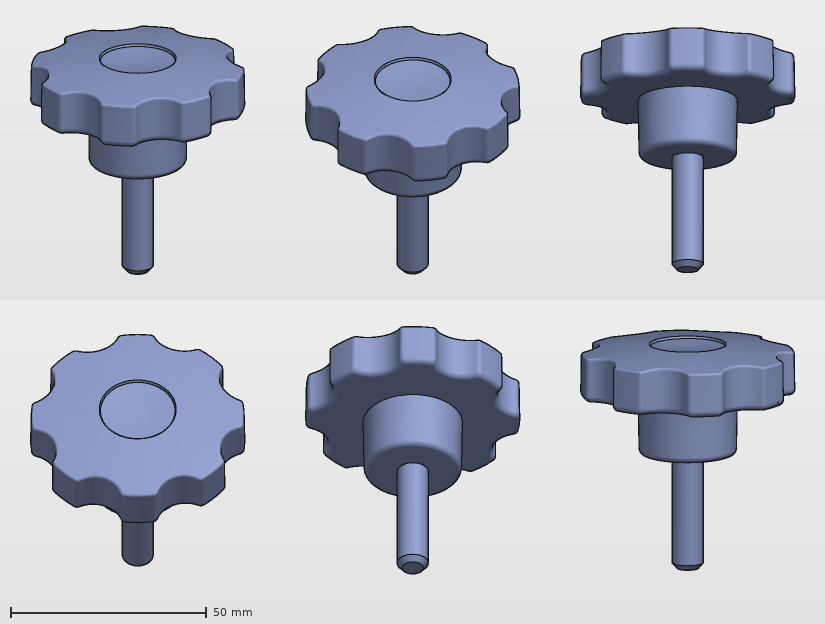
import cadquery as cq
import math

hub_height = 15.2
stud_length = 30.0
head_height = 13.47
head_top = hub_height + head_height

head_radius = 27.46
scallop_count = 8
scallop_radius = 7.5
scallop_depth = 4.0
draft_slope = math.tan(math.radians(1.0))
corner_fillet = 1.3
top_edge_fillet = 0.65
bottom_edge_fillet = 1.5

dome_radius = 150.0
dome_allowance = 2.0
recess_radius = 9.85
recess_floor_radius = 9.55
recess_depth = 0.6
floor_sag = 0.6

hub_top_radius = 12.73
hub_fillet = 1.5
stud_radius = 4.0
chamfer_height = 1.5
stud_tip_radius = 2.7


def drafted_post(radius, bottom, height, slope):
    """Cone frustum on Z whose radius changes by slope per unit of height."""
    return cq.Workplane("XY").add(
        cq.Solid.makeCone(radius, radius + slope * height, height, pnt=cq.Vector(0, 0, bottom))
    )


def make_dome():
    """Sphere centred on Z that passes through the rim of the recess."""
    centre_z = head_top - math.sqrt(dome_radius**2 - recess_radius**2)
    return cq.Workplane("XY").sphere(dome_radius).translate((0, 0, centre_z))


def make_head():
    """Drafted disc with scallops, a domed top and rounded edges."""
    blank_height = head_height + dome_allowance
    blank = drafted_post(head_radius, hub_height, blank_height, -draft_slope)
    scallop_offset = head_radius + scallop_radius - scallop_depth
    scallops = (
        cq.Workplane("XY", origin=(0, 0, hub_height))
        .polarArray(scallop_offset, 0, 360, scallop_count)
        .circle(scallop_radius)
        .extrude(blank_height)
    )
    blank = blank.cut(scallops)
    blank = blank.edges("not(<Z or >Z)").edges("not %LINE").fillet(corner_fillet)
    head = blank.intersect(make_dome())
    head = head.faces(">Z").edges().fillet(top_edge_fillet)
    return head.faces("<Z").edges().fillet(bottom_edge_fillet)


def make_recess():
    """Shallow pocket with a tapered wall and a dished floor."""
    wall_slope = (recess_radius - recess_floor_radius) / recess_depth
    floor_edge = head_top - recess_depth
    pocket_top = head_top + recess_depth
    top_radius = recess_floor_radius + wall_slope * (pocket_top - floor_edge)
    floor_radius = (recess_floor_radius**2 + floor_sag**2) / (2 * floor_sag)
    middle_radius = recess_floor_radius / 2
    middle_rise = floor_radius - math.sqrt(floor_radius**2 - middle_radius**2)
    floor_bottom = floor_edge - floor_sag
    return (
        cq.Workplane("XZ")
        .moveTo(0, floor_bottom)
        .threePointArc((middle_radius, floor_bottom + middle_rise), (recess_floor_radius, floor_edge))
        .lineTo(top_radius, pocket_top)
        .lineTo(0, pocket_top)
        .close()
        .revolve(360, (0, 0), (0, 1))
    )


def make_hub():
    """Drafted hub below the head, rounded at its lower edge."""
    hub_bottom_radius = hub_top_radius - draft_slope * hub_height
    hub = drafted_post(hub_bottom_radius, 0, hub_height, draft_slope)
    return hub.faces("<Z").edges().fillet(hub_fillet)


def make_stud():
    """Plain stud with a chamfered tip."""
    stud = cq.Workplane("XY").circle(stud_radius).extrude(-stud_length)
    chamfer_width = stud_radius - stud_tip_radius
    return stud.faces("<Z").chamfer(chamfer_height, chamfer_width)


result = make_head().union(make_hub()).union(make_stud()).cut(make_recess())